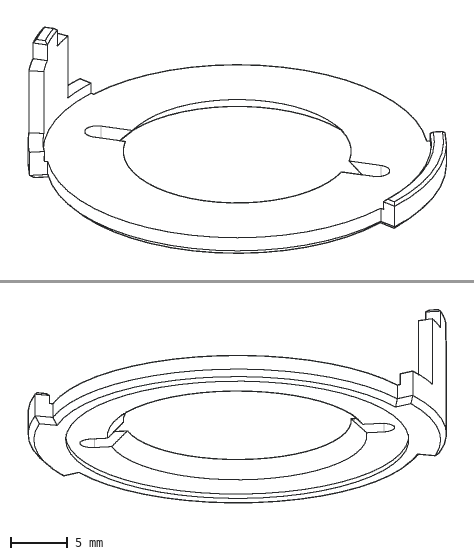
import cadquery as cq
import math

plate_radius = 16.78
bore_radius = 10.0
plate_height = 1.8
bottom_chamfer = 0.5

recess_radius = 15.1
recess_depth = 0.4
flare_width = 1.4

slot_width = 2.2
slot_center_radius = 12.88
slot_angle = 12.0

flange_outer_radius = 18.4
flange_inner_radius = 17.07
flange_height = 2.8
flange_half_angle = 24.0
far_angle = slot_angle
near_angle = slot_angle + 180

wall_height = 8.9
wall_half_angle = 12.2
tab_height = 10.7
tab_width = 3.0
top_chamfer = 0.25


def polar(radius, angle):
    radians = math.radians(angle)
    return radius * math.cos(radians), radius * math.sin(radians)


def ring_sector(inner_radius, center_angle, half_angle, bottom, top):
    """Arc-shaped block with radial ends, reaching out to the flange radius."""
    start = center_angle - half_angle
    end = center_angle + half_angle
    return (
        cq.Workplane("XY", origin=(0, 0, bottom))
        .moveTo(*polar(inner_radius, start))
        .lineTo(*polar(flange_outer_radius, start))
        .threePointArc(polar(flange_outer_radius, center_angle), polar(flange_outer_radius, end))
        .lineTo(*polar(inner_radius, end))
        .threePointArc(polar(inner_radius, center_angle), polar(inner_radius, start))
        .close()
        .extrude(top - bottom)
    )


def make_base():
    """Plate widened by the two flange feet, with its lower outer edge chamfered."""
    base = cq.Workplane("XY").circle(plate_radius).extrude(plate_height)
    for angle in (far_angle, near_angle):
        base = base.union(ring_sector(bore_radius, angle, flange_half_angle, 0, plate_height))
    return base.faces("<Z").edges().chamfer(bottom_chamfer)


def make_opening():
    """Flared bore and underside recess, turned as one profile about the Z axis."""
    return (
        cq.Workplane("XZ")
        .moveTo(0, 0)
        .lineTo(recess_radius, 0)
        .lineTo(recess_radius, recess_depth)
        .lineTo(bore_radius + flare_width, recess_depth)
        .lineTo(bore_radius, plate_height)
        .lineTo(0, plate_height)
        .close()
        .revolve(360, (0, 0, 0), (0, 1, 0))
    )


def make_slots():
    """One long slot across the bore, leaving a round-ended slot on each side."""
    return (
        cq.Workplane("XY")
        .slot2D(2 * slot_center_radius + slot_width, slot_width, slot_angle)
        .extrude(plate_height)
    )


def make_far_flange():
    flange = ring_sector(flange_inner_radius, far_angle, flange_half_angle, plate_height, flange_height)
    return flange.faces(">Z").edges().chamfer(top_chamfer)


def make_near_flange():
    return ring_sector(flange_inner_radius, near_angle, flange_half_angle, plate_height, flange_height)


def make_wall():
    return ring_sector(flange_inner_radius, near_angle, wall_half_angle, flange_height, wall_height)


def make_tab():
    """Parallel-sided tab following the curve of the wall, chamfered on top."""
    sides = (
        cq.Workplane("XY", origin=(0, 0, wall_height))
        .transformed(rotate=(0, 0, near_angle))
        .center(flange_outer_radius, 0)
        .rect(flange_outer_radius, tab_width)
        .extrude(tab_height - wall_height)
    )
    curved = ring_sector(flange_inner_radius, near_angle, wall_half_angle, wall_height, tab_height)
    return curved.intersect(sides).faces(">Z").edges().chamfer(top_chamfer)


result = make_base().cut(make_opening()).cut(make_slots())
for feature in (make_far_flange(), make_near_flange(), make_wall(), make_tab()):
    result = result.union(feature)